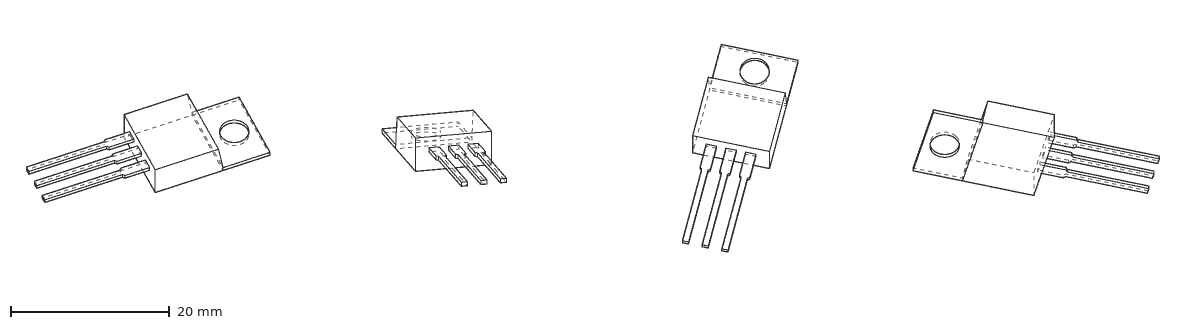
import cadquery as cq

WIDTH = 9.97
TOTAL_LENGTH = 30.02
HEIGHT = 4.45
LEAD_LENGTH = 14.25
HOUSING_LENGTH = 9.3
HOUSING_TOP_LENGTH = 8.68

TAB_LENGTH = TOTAL_LENGTH - LEAD_LENGTH - HOUSING_LENGTH
TAB_THICKNESS = 0.57
HOLE_DIAMETER = 3.7
HOLE_FROM_END = 2.8

LEAD_PITCH = 2.55
LEAD_THICKNESS = 0.55
LEAD_BOTTOM = 2.45
ROOT_WIDTH = 1.35
TIP_WIDTH = 0.8
ROOT_LENGTH = 3.35
TAPER_LENGTH = 0.27

TAB_END = HOUSING_LENGTH + TAB_LENGTH


def make_housing():
    profile = [
        (0, 0),
        (HOUSING_LENGTH, 0),
        (HOUSING_LENGTH, TAB_THICKNESS),
        (HOUSING_TOP_LENGTH, HEIGHT),
        (0, HEIGHT),
    ]
    return cq.Workplane("YZ").polyline(profile).close().extrude(WIDTH / 2, both=True)


def make_tab():
    """Plate butting against the back of the housing, with a mounting hole."""
    plate = cq.Workplane("XY").box(WIDTH, TAB_LENGTH, TAB_THICKNESS, centered=(True, False, False))
    plate = plate.translate((0, HOUSING_LENGTH, 0))
    hole = (
        cq.Workplane("XY")
        .center(0, TAB_END - HOLE_FROM_END)
        .circle(HOLE_DIAMETER / 2)
        .extrude(TAB_THICKNESS)
    )
    return plate.cut(hole)


def make_lead(x):
    """Flat lead centred on x, running forward from the housing's front face."""
    taper_end = ROOT_LENGTH + TAPER_LENGTH
    right_side = [
        (ROOT_WIDTH / 2, 0),
        (ROOT_WIDTH / 2, -ROOT_LENGTH),
        (TIP_WIDTH / 2, -taper_end),
        (TIP_WIDTH / 2, -LEAD_LENGTH),
    ]
    left_side = [(-px, py) for px, py in reversed(right_side)]
    lead = cq.Workplane("XY").polyline(right_side + left_side).close().extrude(LEAD_THICKNESS)
    return lead.translate((x, 0, LEAD_BOTTOM))


housing = make_housing()
tab = make_tab()
leads = [make_lead(position * LEAD_PITCH) for position in (-1, 0, 1)]

result = cq.Compound.makeCompound([housing.val(), tab.val(), *[lead.val() for lead in leads]])